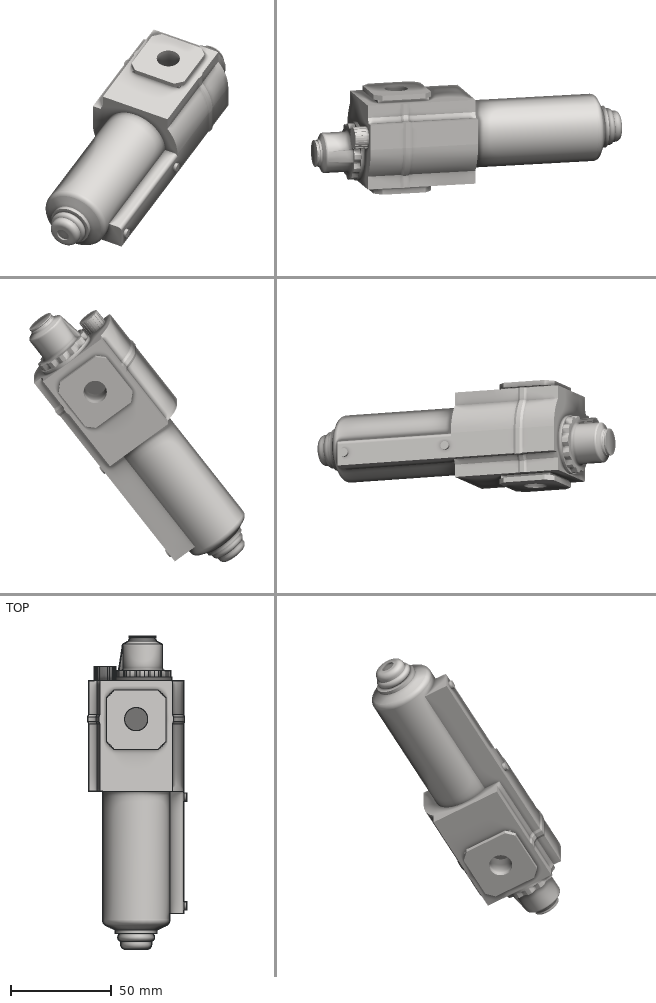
import cadquery as cq
import math


housing_back = 19.1
housing_front = -35.9
housing_length = housing_back - housing_front
block_half_width = 18.0
block_half_height = 21.3
side_flat_x = 23.6
shoulder_outer_x = 19.5
shoulder_outer_z = 12.5
shoulder_inner_z = 15.0
arc_end_z = 14.8
band_rise = 0.5
band_foot_length = 4.7
band_crest_length = 2.2

plate_size = 29.4
plate_y = -0.3
plate_corner = 3.7
plate_thickness = 2.5
plate_neck_size = 26.1
plate_outer_z = 50.2 / 2
plate_inner_z = plate_outer_z - plate_thickness
port_diameter = 11.5
port_depth = 15.5

bowl_radius = 33.4 / 2
bowl_cylinder_end = -99.3
shoulder_arc_mid = (16.3, -101.2)
shoulder_arc_end = (15.2, -102.3)
collar_radius = 10.4
collar_start = -104.6
collar_end = -106.5
rail_front = -96.5
rail_height = 12.5
rail_corner_radius = 1.9
button_diameter = 4.2
button_z = -rail_height / 2
button_outer_x = 25.2
button_positions = (-38.7, -92.6)

drain_end = -114.2
drain_root_radius = 8.2
drain_bulge_radius = 9.2
drain_bulge_y = -108.3
drain_neck_radius = 7.8
drain_neck_start = -110.2
drain_face_radius = 5.1
drain_nose_radius = drain_neck_radius - drain_face_radius
drain_recess_diameter = 6.5
drain_recess_depth = 1.0

dome_x = 3.1
dome_z = -6.2
dome_base_radius = 14.6
dome_ring_radius = 14.1
dome_ring_start = 20.8
dome_ring_end = 24.1
dome_notch_count = 12
dome_notch_depth = 1.2
dome_notch_half_angle = 10.5
dome_notch_floor_half_angle = 1.5
dome_radius = 20.0 / 2
dome_foot_fillet = 1.2
dome_wall_end = 36.2
dome_edge_arc_mid = (10.0, 36.8)
dome_edge_arc_end = (9.6, 37.3)
dome_cap_foot_radius = 7.0
dome_cap_foot_y = 38.7
dome_cap_radius = 6.7
dome_groove_radius = 6.2
dome_groove_start = 39.6
dome_groove_end = 40.5
dome_top = 41.2
pointer_base_radius = 12.0
pointer_base_half_width = 3.1
pointer_tip_half_width = 2.6

knob_x = -15.4
knob_z = 4.7
knob_radius = 5.5
knob_groove_depth = 0.23
knob_groove_count = 16
knob_end = 26.1


def xz_plane(y):
    """Plane across the Y axis at y: local x is X, local y is -Z, and it extrudes towards +Y."""
    return cq.Workplane(cq.Plane(origin=(0, y, 0), xDir=(1, 0, 0), normal=(0, 1, 0)))


def revolve_about_y(outline):
    """Turn a closed (radius, Y) outline about the Y axis."""
    return outline.close().revolve(360, (0, 0, 0), (0, 1, 0))


def polar(radius, angle):
    """Point at an angle in degrees, measured from the local y axis."""
    turn = math.radians(angle)
    return (radius * math.sin(turn), radius * math.cos(turn))


def housing_outline(workplane, grow):
    """Housing cross-section, with its sides moved outwards by grow; it repeats after half a turn."""
    block_x = block_half_width + grow
    flat_x = side_flat_x + grow
    shoulder_x = shoulder_outer_x + grow
    shoulder_z = shoulder_outer_z + grow
    inner_z = shoulder_inner_z + grow
    arc_z = arc_end_z + grow
    inset = flat_x - block_x
    arc_radius = (inset**2 + arc_z**2) / (2 * inset)
    half_sweep = math.asin(arc_z / arc_radius) / 2
    arc_mid_x = flat_x - arc_radius * (1 - math.cos(half_sweep))
    arc_mid_z = arc_radius * math.sin(half_sweep)

    outline = workplane.moveTo(-block_x, -block_half_height)
    for side in (1, -1):
        outline = (
            outline.lineTo(side * block_x, -side * block_half_height)
            .lineTo(side * block_x, -side * arc_z)
            .threePointArc((side * arc_mid_x, -side * arc_mid_z), (side * flat_x, 0))
            .lineTo(side * flat_x, side * shoulder_z)
            .lineTo(side * shoulder_x, side * shoulder_z)
            .lineTo(side * block_x, side * inner_z)
            .lineTo(side * block_x, side * block_half_height)
        )
    return outline.close()


def band_slope(side):
    """One sloping half of the raised band round the housing sides."""
    foot = housing_outline(xz_plane(side * band_foot_length / 2), 0).wires().val()
    crest = housing_outline(xz_plane(side * band_crest_length / 2), band_rise).wires().val()
    return cq.Workplane(cq.Solid.makeLoft([foot, crest], True))


def port_plate(side):
    """Square plate with cut corners on a narrower neck, above (1) or below (-1) the block."""
    neck_height = plate_inner_z - block_half_height
    neck = (
        cq.Workplane("XY", origin=(0, plate_y, side * block_half_height))
        .rect(plate_neck_size, plate_neck_size)
        .extrude(side * neck_height)
    )
    plate = (
        cq.Workplane("XY", origin=(0, plate_y, side * plate_inner_z))
        .rect(plate_size, plate_size)
        .extrude(side * plate_thickness)
        .edges("|Z")
        .chamfer(plate_corner)
    )
    return neck.union(plate)


def port_bore(side):
    """Blind round port that enters the plate from outside."""
    return (
        cq.Workplane("XY", origin=(0, 0, side * plate_outer_z))
        .circle(port_diameter / 2)
        .extrude(-side * port_depth)
    )


def make_housing():
    body = housing_outline(xz_plane(housing_front), 0).extrude(housing_length)
    crest = housing_outline(xz_plane(-band_crest_length / 2), band_rise).extrude(band_crest_length)
    body = body.union(crest)
    for side in (1, -1):
        body = body.union(band_slope(side))
        body = body.union(port_plate(side))
    for side in (1, -1):
        body = body.cut(port_bore(side))
    return body


def make_rail():
    """Rail along the bowl with two round buttons on its outer face."""
    rail = (
        xz_plane(rail_front)
        .rect(side_flat_x, rail_height, centered=False)
        .extrude(housing_front - rail_front)
        .edges("|Y and >X and >Z")
        .fillet(rail_corner_radius)
    )
    for y in button_positions:
        button = (
            cq.Workplane("YZ", origin=(0, y, button_z))
            .circle(button_diameter / 2)
            .extrude(button_outer_x)
        )
        rail = rail.union(button)
    return rail


def make_bowl():
    outline = (
        cq.Workplane("XY")
        .moveTo(0, housing_front)
        .lineTo(bowl_radius, housing_front)
        .lineTo(bowl_radius, bowl_cylinder_end)
        .threePointArc(shoulder_arc_mid, shoulder_arc_end)
        .lineTo(collar_radius, collar_start)
        .lineTo(collar_radius, collar_end)
        .lineTo(0, collar_end)
    )
    return revolve_about_y(outline).union(make_rail())


def bulge_arc_middle(end_radius, end_y):
    """Middle point of the arc that leaves the crest of the bulge along Y and ends at the given point."""
    rise = drain_bulge_radius - end_radius
    run = end_y - drain_bulge_y
    arc_radius = (rise**2 + run**2) / (2 * rise)
    half_sweep = math.atan2(abs(run), arc_radius - rise) / 2
    middle_radius = drain_bulge_radius - arc_radius * (1 - math.cos(half_sweep))
    middle_y = drain_bulge_y + math.copysign(arc_radius * math.sin(half_sweep), run)
    return (middle_radius, middle_y)


def make_drain():
    bulge_top_mid = bulge_arc_middle(drain_root_radius, collar_end)
    bulge_low_mid = bulge_arc_middle(drain_neck_radius, drain_neck_start)
    nose_start = drain_end + drain_nose_radius
    nose_reach = drain_nose_radius * math.sqrt(0.5)
    nose_mid = (drain_face_radius + nose_reach, nose_start - nose_reach)
    outline = (
        cq.Workplane("XY")
        .moveTo(0, collar_end)
        .lineTo(drain_root_radius, collar_end)
        .threePointArc(bulge_top_mid, (drain_bulge_radius, drain_bulge_y))
        .threePointArc(bulge_low_mid, (drain_neck_radius, drain_neck_start))
        .lineTo(drain_neck_radius, nose_start)
        .threePointArc(nose_mid, (drain_face_radius, drain_end))
        .lineTo(0, drain_end)
    )
    recess = xz_plane(drain_end).circle(drain_recess_diameter / 2).extrude(drain_recess_depth)
    return revolve_about_y(outline).cut(recess)


def dome_notches():
    """Flat-bottomed V notches round the ring of the dome, each midway between two ridges."""
    pitch = 360 / dome_notch_count
    floor_radius = dome_ring_radius - dome_notch_depth
    outer_radius = dome_base_radius
    length = dome_ring_end - dome_ring_start
    notches = []
    for index in range(dome_notch_count):
        middle = (index + 0.5) * pitch
        corners = [
            polar(floor_radius, middle + dome_notch_floor_half_angle),
            polar(floor_radius, middle - dome_notch_floor_half_angle),
            polar(dome_ring_radius, middle - dome_notch_half_angle),
            polar(outer_radius, middle - dome_notch_half_angle),
            polar(outer_radius, middle + dome_notch_half_angle),
            polar(dome_ring_radius, middle + dome_notch_half_angle),
        ]
        notches.append(xz_plane(dome_ring_start).polyline(corners).close().extrude(length))
    return notches


def dome_pointer():
    """Tapered rib on the -X side of the dome: a slice of a cone about the dome axis."""
    cone = revolve_about_y(
        cq.Workplane("XY").polyline(
            [
                (0, dome_ring_end),
                (pointer_base_radius, dome_ring_end),
                (dome_radius, dome_wall_end),
                (0, dome_wall_end),
            ]
        )
    )
    wedge = (
        cq.Workplane("YZ")
        .polyline(
            [
                (dome_ring_end, -pointer_base_half_width),
                (dome_ring_end, pointer_base_half_width),
                (dome_wall_end, pointer_tip_half_width),
                (dome_wall_end, -pointer_tip_half_width),
            ]
        )
        .close()
        .extrude(-pointer_base_radius)
    )
    return cone.intersect(wedge)


def make_dome():
    groove_middle = (dome_groove_start + dome_groove_end) / 2
    foot_reach = dome_foot_fillet * (1 - math.sqrt(0.5))
    outline = (
        cq.Workplane("XY")
        .moveTo(0, housing_back)
        .lineTo(dome_base_radius, housing_back)
        .lineTo(dome_base_radius, dome_ring_start)
        .lineTo(dome_ring_radius, dome_ring_start)
        .lineTo(dome_ring_radius, dome_ring_end)
        .lineTo(dome_radius + dome_foot_fillet, dome_ring_end)
        .threePointArc(
            (dome_radius + foot_reach, dome_ring_end + foot_reach),
            (dome_radius, dome_ring_end + dome_foot_fillet),
        )
        .lineTo(dome_radius, dome_wall_end)
        .threePointArc(dome_edge_arc_mid, dome_edge_arc_end)
        .lineTo(dome_cap_foot_radius, dome_cap_foot_y)
        .lineTo(dome_cap_radius, dome_groove_start)
        .threePointArc((dome_groove_radius, groove_middle), (dome_cap_radius, dome_groove_end))
        .lineTo(dome_cap_radius, dome_top)
        .lineTo(0, dome_top)
    )
    dome = revolve_about_y(outline)
    for notch in dome_notches():
        dome = dome.cut(notch)
    return dome.union(dome_pointer()).translate((dome_x, 0, dome_z))


def make_knob():
    """Knob with straight flat-bottomed flutes, as wide as the ribs between them."""
    groove_radius = knob_radius - knob_groove_depth
    half_pitch = 180 / knob_groove_count
    points = []
    for index in range(knob_groove_count):
        groove_start = 2 * index * half_pitch
        groove_end = groove_start + half_pitch
        points.append(polar(knob_radius, groove_start))
        points.append(polar(groove_radius, groove_start))
        points.append(polar(groove_radius, groove_end))
        points.append(polar(knob_radius, groove_end))
    knob = xz_plane(housing_back).polyline(points).close().extrude(knob_end - housing_back)
    return knob.translate((knob_x, 0, knob_z))


housing = make_housing()
bowl = make_bowl()
drain = make_drain()
dome = make_dome()
knob = make_knob()

result = cq.Compound.makeCompound([housing.val(), bowl.val(), drain.val(), dome.val(), knob.val()])